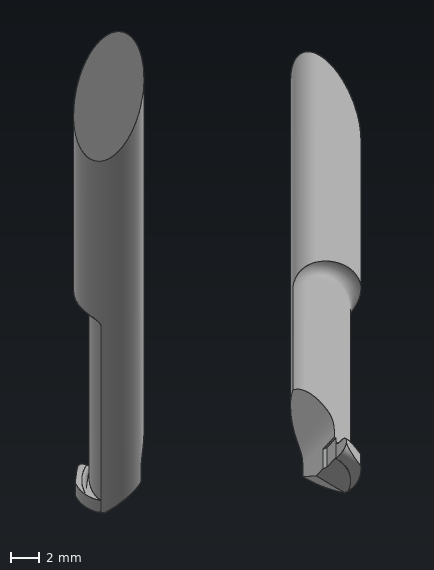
import cadquery as cq
import math

length = 46.6
shank_diameter = 5.0
shank_radius = shank_diameter / 2
end_angle = 30.0
margin = 4.65

neck_left = -1.25
neck_axis_x = shank_radius + neck_left
shoulder_z = 21.25
shoulder_fillet = 1.0

flat_y = 0.2
flat_top_z = 4.35
flat_angle = 30.0
flat_blend_radius = 3.73

foot_z = 0.15
foot_chamfer = 1.65

rake_y = 0.05
rake_top_z = 2.4
rake_floor_right = -0.25
rake_wall_right = 0.1

tip_height = 1.5
tip_top_drop = 0.05
tip_bottom_rise = 0.1
tip_corner_radius = 0.65
relief_x = -1.75
root_fillet = 0.5
root_top_drop = 0.6


def prism_along_x(points, x_from, x_to):
    """Polygon of (y, z) points extruded between two X positions."""
    return cq.Workplane("YZ", origin=(x_from, 0, 0)).polyline(points).close().extrude(x_to - x_from)


def neck_cylinder(height):
    return cq.Workplane("XY").center(neck_axis_x, 0).circle(shank_radius).extrude(height)


def revolve_about_neck(profile):
    """Turn a (radius, z) profile once around the neck axis."""
    return profile.revolve(360, (0, 0, 0), (0, 1, 0)).translate((neck_axis_x, 0, 0))


def driving_end_cutter():
    low_z = length - shank_diameter / math.tan(math.radians(end_angle))
    slope = (length - low_z) / shank_diameter
    outer_y = shank_radius + margin
    points = [
        (-outer_y, low_z - margin * slope),
        (outer_y, length + margin * slope),
        (-outer_y, length + margin * slope),
    ]
    return prism_along_x(points, -margin, margin)


def neck_cutter():
    """Everything outside the neck, with a concave fillet under the shoulder."""
    outer = shank_diameter + margin
    centre_r = shank_radius + shoulder_fillet
    centre_z = shoulder_z - shoulder_fillet
    diagonal = shoulder_fillet * math.sqrt(0.5)
    profile = (
        cq.Workplane("XZ")
        .moveTo(shank_radius, -margin)
        .lineTo(outer, -margin)
        .lineTo(outer, shoulder_z)
        .lineTo(centre_r, shoulder_z)
        .threePointArc((centre_r - diagonal, centre_z + diagonal), (shank_radius, centre_z))
        .close()
    )
    return revolve_about_neck(profile)


def flat_cutter():
    outer_y = shank_radius + margin
    run_out_z = flat_top_z + (outer_y - flat_y) / math.tan(math.radians(flat_angle))
    points = [(flat_y, -margin), (outer_y, -margin), (outer_y, run_out_z), (flat_y, flat_top_z)]
    cutter = prism_along_x(points, -margin, margin)
    blend_edge = cq.selectors.NearestToPointSelector((0, flat_y, flat_top_z))
    return cutter.edges(blend_edge).fillet(flat_blend_radius)


def foot_cutter():
    """Trim below the foot and the slope at its +X side."""
    right = shank_radius + margin
    return (
        cq.Workplane("XZ", origin=(0, margin, 0))
        .moveTo(-margin, -margin)
        .lineTo(right, -margin)
        .lineTo(right, foot_z + foot_chamfer + margin)
        .lineTo(shank_radius - foot_chamfer, foot_z)
        .lineTo(-margin, foot_z)
        .close()
        .extrude(2 * margin)
    )


def rake_cutter():
    """Shallow recess in the flat, with a sloping wall on its +X side."""
    return (
        cq.Workplane("XY", origin=(0, 0, -margin))
        .moveTo(-margin, rake_y)
        .lineTo(rake_floor_right, rake_y)
        .lineTo(rake_wall_right, flat_y)
        .lineTo(rake_wall_right, margin)
        .lineTo(-margin, margin)
        .close()
        .extrude(margin + rake_top_z)
    )


def make_shank():
    bar = cq.Workplane("XY").circle(shank_radius).extrude(length)
    cutters = [driving_end_cutter(), neck_cutter(), flat_cutter(), foot_cutter(), rake_cutter()]
    for cutter in cutters:
        bar = bar.cut(cutter)
    return bar.val().Solids()[0]


def tip_outline(height):
    """Round back on the shank circle, flat clearance and rake face, extruded upward."""
    relief_y = -math.sqrt(shank_radius**2 - relief_x**2)
    cutting_x = -math.sqrt(shank_radius**2 - rake_y**2)
    return (
        cq.Workplane("XY")
        .moveTo(cutting_x, rake_y)
        .lineTo(relief_x, relief_y)
        .threePointArc((0, -shank_radius), (shank_radius, 0))
        .lineTo(shank_radius, rake_y)
        .close()
        .extrude(height)
    )


def sloped_block(top_z, drop):
    """Block in front of the rake face whose top falls and bottom rises toward -Y."""
    back_y = -shank_radius
    points = [(rake_y, 0), (rake_y, top_z), (back_y, top_z - drop), (back_y, tip_bottom_rise)]
    return prism_along_x(points, -shank_radius, shank_radius)


def tip_root():
    """Concave fillet between the neck and the top of the tip."""
    foot_r = shank_radius + root_fillet
    base_z = tip_height - tip_top_drop
    top_z = tip_height + root_fillet
    diagonal = root_fillet * math.sqrt(0.5)
    profile = (
        cq.Workplane("XZ")
        .moveTo(shank_radius - root_fillet, base_z)
        .lineTo(foot_r, base_z)
        .lineTo(foot_r, tip_height)
        .threePointArc((foot_r - diagonal, top_z - diagonal), (shank_radius, top_z))
        .lineTo(shank_radius - root_fillet, top_z)
        .close()
    )
    return revolve_about_neck(profile).intersect(sloped_block(top_z, root_top_drop))


def make_tip():
    hook = sloped_block(tip_height, tip_top_drop)
    for end in (">Z", "<Z"):
        hook = hook.faces("<X").edges(end).fillet(tip_corner_radius)
    envelope = tip_outline(tip_height + root_fillet)
    return hook.union(tip_root()).intersect(envelope).cut(neck_cylinder(length)).val().Solids()[0]


shank = make_shank()
tip = make_tip()
result = cq.Compound.makeCompound([shank, tip])